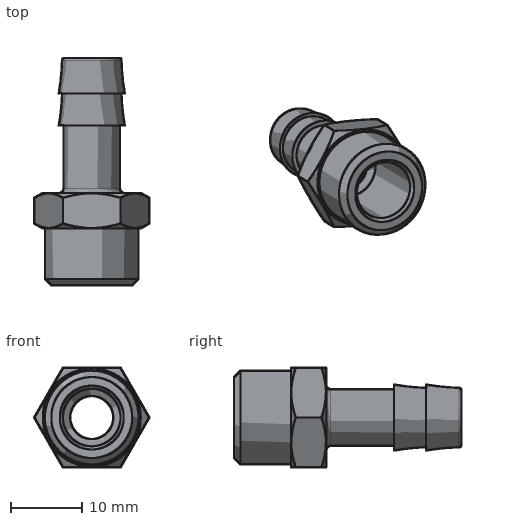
import cadquery as cq
import math

length = 32.0

spigot_diameter = 13.2
spigot_length = 8.0
spigot_chamfer = 0.9

hex_across_flats = 14.0
hex_width = 5.0
hex_face_diameter = 13.8
hex_chamfer_angle = 30.0

stem_diameter = 8.0
stem_fillet = 0.6
barb_diameter = 9.3
barb_root_diameter = 8.4
tip_barb_length = 5.0
second_barb_length = 4.5
barb_flank_radius = 32.0
tip_round = 0.4

through_diameter = 6.0
counterbore_diameter = 8.1
counterbore_depth = 13.0
mouth_chamfer = 0.45
drill_point_angle = 118.0

hex_end = spigot_length + hex_width
tip_barb_start = length - tip_barb_length
second_barb_start = tip_barb_start - second_barb_length


def barb(start, end):
    """Solid of one barb: square shoulder at start, hollow-curved flank narrowing to end."""
    shoulder_radius = barb_diameter / 2
    root_radius = barb_root_diameter / 2
    rise = shoulder_radius - root_radius
    chord = math.hypot(rise, end - start)
    sagitta = barb_flank_radius - math.sqrt(barb_flank_radius**2 - (chord / 2) ** 2)
    flank_middle = (
        (shoulder_radius + root_radius) / 2 - sagitta * (end - start) / chord,
        (start + end) / 2 - sagitta * rise / chord,
    )
    profile = (
        cq.Workplane("XY")
        .moveTo(0, start)
        .lineTo(shoulder_radius, start)
        .threePointArc(flank_middle, (root_radius, end))
        .lineTo(0, end)
        .close()
    )
    return profile.revolve(360, (0, 0), (0, 1))


def cylinder(diameter, start, end):
    """Solid cylinder on the Y axis from start to end."""
    plane = cq.Workplane("XZ", origin=(0, start, 0))
    return plane.circle(diameter / 2).extrude(start - end)


def hexagon():
    """Hexagon with corners on X, trimmed at both faces by cones."""
    corner_radius = hex_across_flats / math.sqrt(3)
    face_radius = hex_face_diameter / 2
    bevel = (corner_radius - face_radius) * math.tan(math.radians(hex_chamfer_angle))
    prism = (
        cq.Workplane("XZ", origin=(0, spigot_length, 0))
        .polygon(6, 2 * corner_radius)
        .extrude(-hex_width)
    )
    envelope = (
        cq.Workplane("XY")
        .polyline([
            (0, spigot_length),
            (face_radius, spigot_length),
            (corner_radius, spigot_length + bevel),
            (corner_radius, hex_end - bevel),
            (face_radius, hex_end),
            (0, hex_end),
        ])
        .close()
        .revolve(360, (0, 0), (0, 1))
    )
    return prism.intersect(envelope)


def flared_stem():
    """Stem with a concave fillet where it meets the hexagon."""
    radius = stem_diameter / 2
    arc_offset = stem_fillet * (1 - math.sqrt(0.5))
    profile = (
        cq.Workplane("XY")
        .moveTo(0, hex_end)
        .lineTo(radius + stem_fillet, hex_end)
        .threePointArc((radius + arc_offset, hex_end + arc_offset), (radius, hex_end + stem_fillet))
        .lineTo(radius, second_barb_start)
        .lineTo(0, second_barb_start)
        .close()
    )
    return profile.revolve(360, (0, 0), (0, 1))


def bore():
    """Cutter for the through hole, the counterbore with its drill-point cone and the mouth chamfer."""
    through_radius = through_diameter / 2
    counterbore_radius = counterbore_diameter / 2
    cone_length = (counterbore_radius - through_radius) / math.tan(math.radians(drill_point_angle / 2))
    return (
        cq.Workplane("XY")
        .polyline([
            (0, 0),
            (counterbore_radius + mouth_chamfer, 0),
            (counterbore_radius, mouth_chamfer),
            (counterbore_radius, counterbore_depth),
            (through_radius, counterbore_depth + cone_length),
            (through_radius, length),
            (0, length),
        ])
        .close()
        .revolve(360, (0, 0), (0, 1))
    )


spigot = cylinder(spigot_diameter, 0, spigot_length).faces("<Y").chamfer(spigot_chamfer)
tip_barb = barb(tip_barb_start, length).faces(">Y").edges().fillet(tip_round)
second_barb = barb(second_barb_start, tip_barb_start)

result = spigot.union(hexagon()).union(flared_stem()).union(second_barb).union(tip_barb).cut(bore())